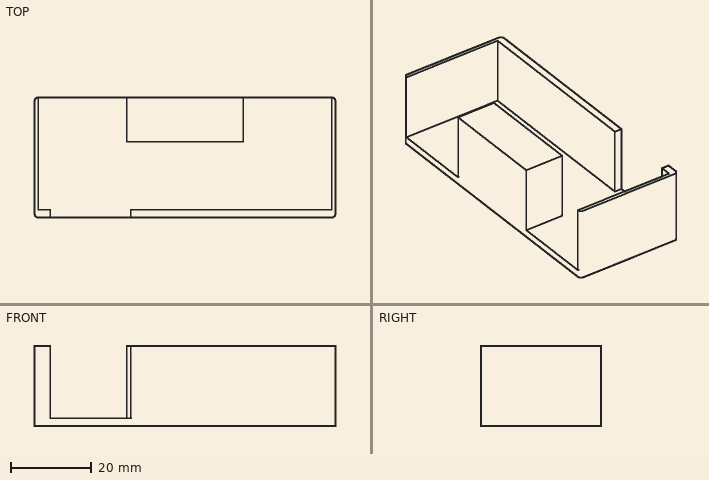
import cadquery as cq

length = 75.0
width = 30.0
height = 20.0
corner_radius = 1.0

side_wall = 1.0
front_wall = 2.0
floor = 2.0

notch_start = 4.0
notch_width = 20.0

block_length = 29.1
block_depth = 11.0


def corner_box(size_x, size_y, size_z, x, y, z):
    """Box with its lowest corner at (x, y, z)."""
    return cq.Workplane("XY").box(size_x, size_y, size_z, centered=False).translate((x, y, z))


wall_height = height - floor

body = corner_box(length, width, height, 0, 0, 0).edges("|Z").fillet(corner_radius)
cavity = corner_box(
    length - 2 * side_wall, width - front_wall, wall_height, side_wall, front_wall, floor
)
notch = corner_box(notch_width, front_wall, wall_height, notch_start, 0, floor)

block = corner_box(
    block_length, block_depth, wall_height, (length - block_length) / 2, width - block_depth, floor
)

result = body.cut(cavity).cut(notch).union(block)